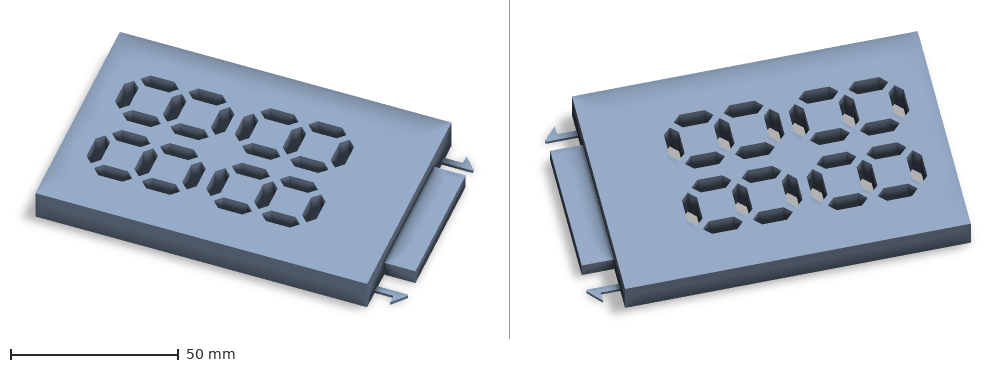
import cadquery as cq

total_length = 115.5
body_width = 71.1
body_height = 10.0
tab_length = 9.9
body_length = total_length - tab_length

connector_width = 42.3
connector_top = 5.1

hook_inner_y = 27.3
hook_thickness = 1.0
hook_beam_width = 2.0
hook_barb_length = 3.9
hook_barb_reach = 5.0
hook_tip_width = 0.6

segment_length = 12.2
segment_width = 4.6
segment_pitch = 15.3
digit_pitch_x = 38.1
digit_pitch_y = 24.0
first_digit_x = 26.3
first_digit_y = -digit_pitch_y / 2
digit_columns = 2
digit_rows = 2


def make_body():
    return cq.Workplane("XY").box(body_length, body_width, body_height, centered=(False, True, False))


def make_connector():
    return (
        cq.Workplane("XY")
        .box(tab_length, connector_width, connector_top, centered=(False, True, False))
        .translate((body_length, 0, 0))
    )


def make_hook(side):
    """Barbed hook lying on the bottom plane; side is +1 for +Y and -1 for -Y."""
    barb_start = total_length - hook_barb_length
    outline = [
        (body_length, 0),
        (total_length, 0),
        (total_length, hook_tip_width),
        (barb_start, hook_barb_reach),
        (barb_start, hook_beam_width),
        (body_length, hook_beam_width),
    ]
    points = [(x, side * (hook_inner_y + y)) for x, y in outline]
    return cq.Workplane("XY").polyline(points).close().extrude(hook_thickness)


def make_segment(x, y, angle):
    """Hexagonal cutter with 45 degree points, lying along X before it is turned by angle."""
    half_length = segment_length / 2
    half_width = segment_width / 2
    shoulder = half_length - half_width
    return (
        cq.Workplane("XY")
        .polyline([
            (-half_length, 0),
            (-shoulder, half_width),
            (shoulder, half_width),
            (half_length, 0),
            (shoulder, -half_width),
            (-shoulder, -half_width),
        ])
        .close()
        .extrude(body_height)
        .rotate((0, 0, 0), (0, 0, 1), angle)
        .translate((x, y, 0))
    )


def cut_digit(body, x, y):
    """Cut three bars across and two pairs of bars along the digit centred on (x, y)."""
    for step in (-1, 0, 1):
        body = body.cut(make_segment(x + step * segment_pitch, y, 90))
    for step_x in (-0.5, 0.5):
        for step_y in (-0.5, 0.5):
            body = body.cut(make_segment(x + step_x * segment_pitch, y + step_y * segment_pitch, 0))
    return body


result = make_body()
for column in range(digit_columns):
    for row in range(digit_rows):
        digit_x = first_digit_x + column * digit_pitch_x
        digit_y = first_digit_y + row * digit_pitch_y
        result = cut_digit(result, digit_x, digit_y)

result = result.union(make_connector())
for hook_side in (-1, 1):
    result = result.union(make_hook(hook_side))